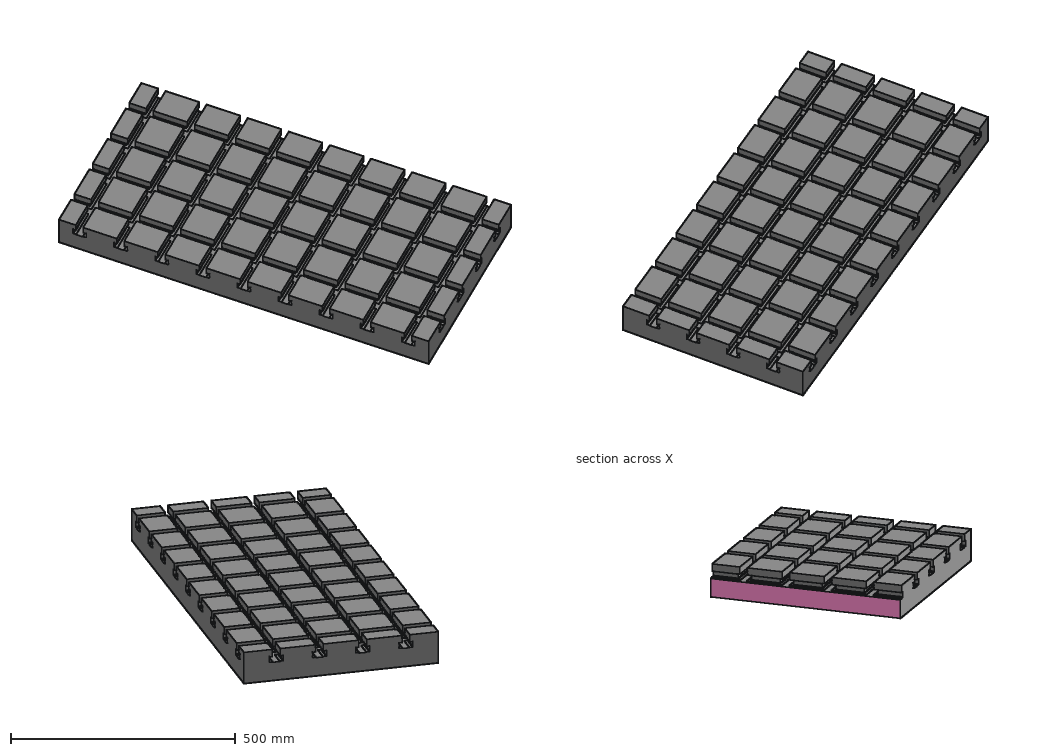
import cadquery as cq

length = 900.0
width = length / 2
thickness = length / 12

pitch = length / 9
slots_along_y = 9
slots_along_x = 4

throat_width = 18.0
throat_depth = 17.0
head_overhang = 7.0
head_width = throat_width + 2 * head_overhang
head_floor = 45.0
head_chamfer = 1.0

relief_inset = 1.0
relief_width = throat_width - 2 * relief_inset
relief_depth = 1.0


def slot_positions(count):
    """Centre offsets of evenly pitched slots, symmetric about the plate centre."""
    return [(i - (count - 1) / 2) * pitch for i in range(count)]


def t_slot(plane, run):
    """T-slot cutter on a plane's vertical axis, opening through the plate's top face."""
    head_top = thickness - throat_depth
    right_side = [
        (relief_width / 2, head_floor - relief_depth),
        (relief_width / 2, head_floor),
        (head_width / 2 - head_chamfer, head_floor),
        (head_width / 2, head_floor + head_chamfer),
        (head_width / 2, head_top),
        (throat_width / 2, head_top),
        (throat_width / 2, thickness),
    ]
    left_side = [(-u, z) for u, z in reversed(right_side)]
    return cq.Workplane(plane).polyline(right_side + left_side).close().extrude(run / 2, both=True)


result = cq.Workplane("XY").box(length, width, thickness, centered=(True, True, False))

for x in slot_positions(slots_along_y):
    result = result.cut(t_slot("XZ", width).translate((x, 0, 0)))

for y in slot_positions(slots_along_x):
    result = result.cut(t_slot("YZ", length).translate((0, y, 0)))